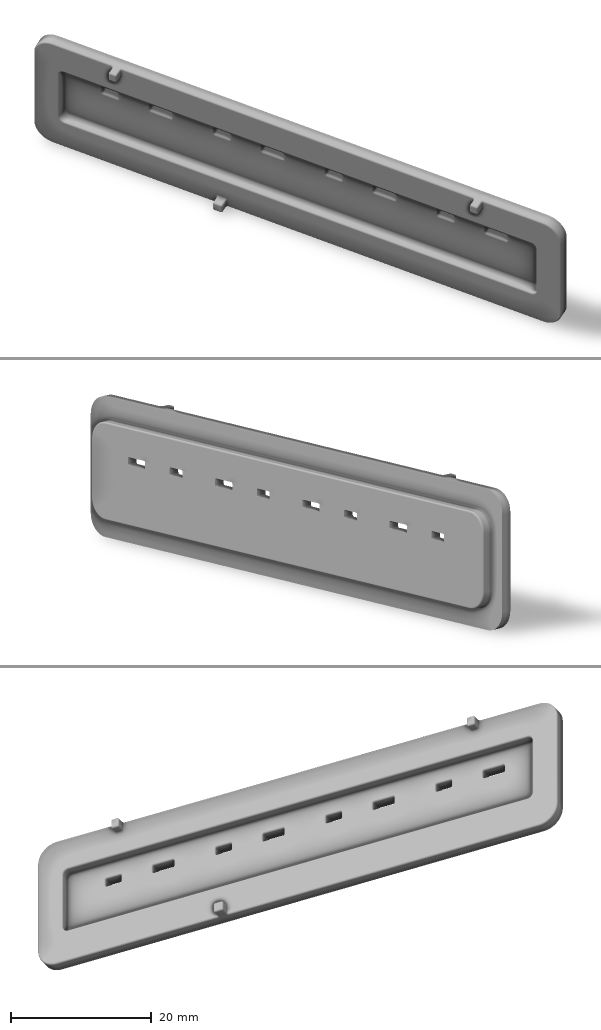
import cadquery as cq

plate_length = 83.7
plate_height = 20.5
plate_thickness = 1.8
corner_radius = 3.0
edge_fillet = 0.25

boss_margin_x = 2.0
boss_margin_z = 3.1
boss_thickness = 1.85
boss_corner_radius = 2.85
boss_length = plate_length - 2 * boss_margin_x
boss_height = plate_height - 2 * boss_margin_z

wall = 2.0
pocket_depth = 1.8
pocket_length = boss_length - 2 * wall
pocket_height = boss_height - 2 * wall
pocket_corner_radius = boss_corner_radius - wall

short_slot_length = 2.6
long_slot_length = 3.5
slot_height = 1.25
slot_corner_radius = 0.25
slot_z = 2.3
pair_count = 4
pair_pitch = 17.75
slot_spacing = 8.0

peg_height = 1.5
peg_length = 1.5
top_peg_width = 1.25
top_peg_xs = (-28.6, 28.7)
bottom_peg_width = 1.5
bottom_peg_x = -12.0

front_y = 0.0
peg_tip_y = front_y - peg_length
plate_back_y = front_y + plate_thickness
pocket_floor_y = front_y + pocket_depth
floor_thickness = plate_thickness + boss_thickness - pocket_depth

slack = 0.04


def block(length, height, start_y, depth, x=0.0, z=0.0):
    """Block centred on (x, z), running from start_y toward +Y."""
    return cq.Workplane("XZ", origin=(x, start_y, z)).rect(length, height).extrude(-depth)


def edge_box(length, height, y_min, y_max, x=0.0, z=0.0):
    """Selector for the edges whose centres lie in a box centred on (x, z)."""
    half_length = length / 2 + slack
    half_height = height / 2 + slack
    return cq.selectors.BoxSelector(
        (x - half_length, y_min - slack, z - half_height),
        (x + half_length, y_max + slack, z + half_height),
    )


def add_peg(body, width, x, side):
    """Peg with a filleted root; side is +1 at the top edge of the plate, -1 at the bottom."""
    z = side * (plate_height - peg_height) / 2
    inner_face = "<Z" if side > 0 else ">Z"
    peg = block(width, peg_height, peg_tip_y, peg_length + plate_thickness / 2, x, z)
    peg = peg.faces(inner_face).edges("|Y").fillet(edge_fillet)
    body = body.union(peg)
    root = edge_box(width, peg_height, front_y, front_y, x, z)
    return body.faces("|Y").edges(root).fillet(edge_fillet)


def round_front_outline(body):
    """Round the peg tips and the front rim; the rim runs on around the plate corners and the pegs."""
    edges = body.faces("<Y").edges()
    for side in (1, -1):
        rim = edge_box(plate_length, 0, peg_tip_y, front_y, z=side * plate_height / 2)
        edges = edges.add(body.edges(rim))
    return body.newObject(list(set(edges.vals()))).fillet(edge_fillet)


def add_boss(body):
    boss = block(boss_length, boss_height, plate_back_y, boss_thickness)
    boss = boss.edges("|Y").fillet(boss_corner_radius)
    boss = boss.faces(">Y").edges().fillet(edge_fillet)
    body = body.union(boss)
    root = edge_box(boss_length, boss_height, plate_back_y, plate_back_y)
    return body.edges(root).fillet(edge_fillet)


def cut_pocket(body):
    pocket = block(pocket_length, pocket_height, front_y, pocket_depth)
    pocket = pocket.edges("|Y").fillet(pocket_corner_radius)
    pocket = pocket.faces(">Y").edges().fillet(edge_fillet)
    body = body.cut(pocket)
    rim = edge_box(pocket_length, pocket_height, front_y, front_y)
    return body.edges(rim).fillet(edge_fillet)


def cut_slot(body, length, x):
    slot = block(length, slot_height, pocket_floor_y, floor_thickness, x, slot_z)
    body = body.cut(slot.edges("|Y").fillet(slot_corner_radius))
    rim = edge_box(length, slot_height, pocket_floor_y, pocket_floor_y, x, slot_z)
    return body.edges(rim).fillet(edge_fillet)


plate = block(plate_length, plate_height, front_y, plate_thickness)
result = plate.edges("|Y").fillet(corner_radius)
for peg_x in top_peg_xs:
    result = add_peg(result, top_peg_width, peg_x, 1)
result = add_peg(result, bottom_peg_width, bottom_peg_x, -1)
result = round_front_outline(result)
result = add_boss(result)
result = cut_pocket(result)

first_slot_x = -(pair_pitch * (pair_count - 1) + slot_spacing) / 2
for pair in range(pair_count):
    short_slot_x = first_slot_x + pair * pair_pitch
    result = cut_slot(result, short_slot_length, short_slot_x)
    result = cut_slot(result, long_slot_length, short_slot_x + slot_spacing)